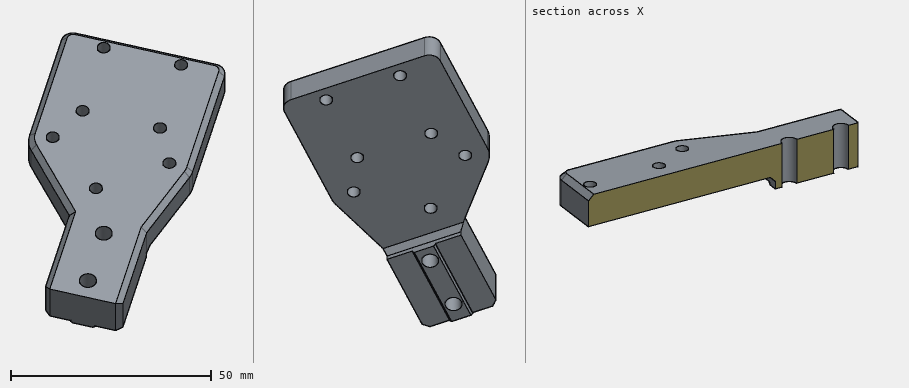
import cadquery as cq
import math

TOTAL_LENGTH = 78.25
TOTAL_HEIGHT = 12.4
EDGE_CHAMFER = 1.5

TAIL_WIDTH = 20.0
TAIL_LENGTH = 24.0
TAIL_CORNER_CHAMFER = 1.5
KEY_HEIGHT = 0.8
KEY_WIDTH = 6.2
KEY_CHAMFER = 0.5
TAIL_THICKNESS = TOTAL_HEIGHT - KEY_HEIGHT

PLATE_WIDTH = 42.14
PLATE_LEFT = -26.0
PLATE_RIGHT = PLATE_LEFT + PLATE_WIDTH
PLATE_CENTER = (PLATE_LEFT + PLATE_RIGHT) / 2
PLATE_THICKNESS = 8.8
REAR_RADIUS = 3.0
SHOULDER_RADIUS = 6.5
SHOULDER_Y = 45.0
STEP_CHAMFER = 1.5

PLATE_HOLE_DIAMETER = 3.2
SQUARE_PITCH = 20.0
SQUARE_REAR_MARGIN = 3.5
SHOULDER_HOLE_INSET = 6.0
SINGLE_HOLE = (-5.5, 32.75)
TAIL_HOLE_DIAMETER = 4.2
TAIL_HOLE_YS = (5.0, 20.0)


def shoulder_arc(side_x, waist_x):
    """Start, middle and end of the round from a plate side to the taper that ends at the tail."""
    outward = math.copysign(1, side_x - waist_x)
    center_x = side_x - outward * SHOULDER_RADIUS
    run = outward * (center_x - waist_x)
    rise = SHOULDER_Y - TAIL_LENGTH
    taper_angle = math.atan2(run, rise) + math.asin(SHOULDER_RADIUS / math.hypot(run, rise))
    return [
        (
            center_x + outward * SHOULDER_RADIUS * math.cos(angle),
            SHOULDER_Y - SHOULDER_RADIUS * math.sin(angle),
        )
        for angle in (0, taper_angle / 2, taper_angle)
    ]


def paddle_outline():
    """Closed outline of the wide plate, its tapered shoulders and the narrow tail."""
    half_tail = TAIL_WIDTH / 2
    right_start, right_middle, right_end = shoulder_arc(PLATE_RIGHT, half_tail)
    left_start, left_middle, left_end = shoulder_arc(PLATE_LEFT, -half_tail)
    return (
        cq.Workplane("XY")
        .moveTo(-half_tail, 0)
        .lineTo(half_tail, 0)
        .lineTo(half_tail, TAIL_LENGTH)
        .lineTo(*right_end)
        .threePointArc(right_middle, right_start)
        .lineTo(PLATE_RIGHT, TOTAL_LENGTH)
        .lineTo(PLATE_LEFT, TOTAL_LENGTH)
        .lineTo(*left_start)
        .threePointArc(left_middle, left_end)
        .lineTo(-half_tail, TAIL_LENGTH)
        .close()
    )


def make_body():
    """Paddle at full tail thickness, top edges chamfered except along the tail's front face."""
    body = paddle_outline().extrude(-TAIL_THICKNESS)
    body = body.edges("|Z and >Y").fillet(REAR_RADIUS)
    body = body.faces(">Z").edges("not <Y").chamfer(EDGE_CHAMFER)
    return body.edges("|Z and <Y").chamfer(TAIL_CORNER_CHAMFER)


def plate_relief():
    """Space below the plate, with a sloped transition behind the tail."""
    slope_bottom = -PLATE_THICKNESS - STEP_CHAMFER
    return (
        cq.Workplane("YZ")
        .moveTo(TAIL_LENGTH, -TOTAL_HEIGHT)
        .lineTo(TAIL_LENGTH, slope_bottom)
        .lineTo(TAIL_LENGTH + STEP_CHAMFER, -PLATE_THICKNESS)
        .lineTo(TOTAL_LENGTH, -PLATE_THICKNESS)
        .lineTo(TOTAL_LENGTH, -TOTAL_HEIGHT)
        .close()
        .extrude(PLATE_WIDTH, both=True)
    )


def make_key():
    """Locating key along the underside of the tail, with chamfered lower edges."""
    key = cq.Workplane("XY").box(KEY_WIDTH, TAIL_LENGTH, KEY_HEIGHT, centered=(True, False, False))
    key = key.translate((0, 0, -TOTAL_HEIGHT))
    return key.edges("|Y and <Z").chamfer(KEY_CHAMFER)


def through_holes(centers, diameter):
    """Round cutters running down from the top face through the full height."""
    return cq.Workplane("XY").pushPoints(centers).circle(diameter / 2).extrude(-TOTAL_HEIGHT)


def plate_hole_centers():
    """Four holes in a square, one hole at each shoulder and a single hole near the tail."""
    rear_y = TOTAL_LENGTH - SQUARE_REAR_MARGIN
    square = [
        (PLATE_CENTER + side * SQUARE_PITCH / 2, y)
        for side in (-1, 1)
        for y in (rear_y, rear_y - SQUARE_PITCH)
    ]
    shoulders = [
        (PLATE_LEFT + SHOULDER_HOLE_INSET, SHOULDER_Y),
        (PLATE_RIGHT - SHOULDER_HOLE_INSET, SHOULDER_Y),
    ]
    return square + shoulders + [SINGLE_HOLE]


result = make_body().cut(plate_relief()).union(make_key())
result = result.cut(through_holes(plate_hole_centers(), PLATE_HOLE_DIAMETER))
result = result.cut(through_holes([(0, y) for y in TAIL_HOLE_YS], TAIL_HOLE_DIAMETER))